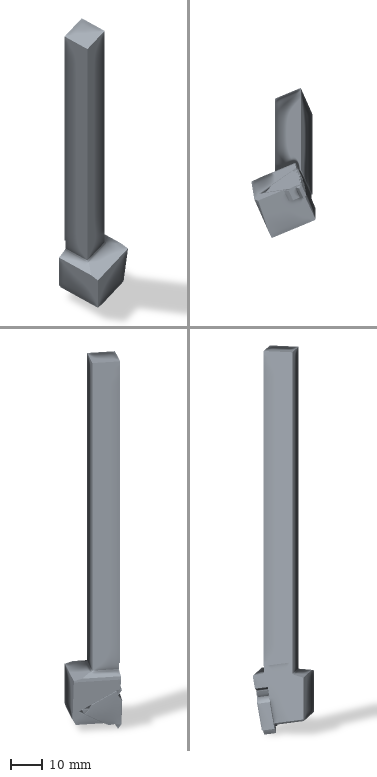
import cadquery as cq
import math

TOTAL_LENGTH = 126.0
SHANK_X = 9.1
SHANK_Y = 9.5

HEAD_RIGHT = 15.7
HEAD_Y = 16.5
HEAD_TOP = 20.2
SIDE_RELIEF = 0.4
SHOULDER_SLOPE = 15.0
LEDGE_X = 0.9
LEDGE_Y = 0.4
CORNER_CUT_X = 1.1
CORNER_CUT_BOTTOM = 2.6
CORNER_CUT_TOP = 4.5

TILT = 10.0
TIP_X = 0.69
TIP_Y = 4.7
HEAD_BOTTOM = 2.6
HEAD_EDGE_CHAMFER = 0.6
RELIEF_TOP = 22.3
REACH = 50.4

INSERT_LEFT = -0.4
INSERT_INRADIUS = 4.8
INSERT_CENTRE_HEIGHT = 7.4
INSERT_THICKNESS = 3.9
FLANK_TOP = 1.57
SIDE_TOP = 10.5
NOTCH_X = 1.0
NOTCH_HEIGHT = 12.3
PAD_HEIGHT = 0.4
PAD_INSET = 0.3
INSERT_SIDES = 3

centre_x = INSERT_LEFT + INSERT_INRADIUS


def tilted_plane(offset):
    """Plane parallel to the rake face, offset outward; extrusions go into the head."""
    sine = math.sin(math.radians(TILT))
    cosine = math.cos(math.radians(TILT))
    return cq.Workplane(cq.Plane(
        origin=(0, TIP_Y + offset * cosine, -offset * sine),
        xDir=(1, 0, 0),
        normal=(0, -cosine, sine),
    ))


def turned(point, index):
    """Turn a point clockwise about the insert centre by whole insert sides."""
    angle = -math.radians(360 / INSERT_SIDES * index)
    dx = point[0] - centre_x
    dy = point[1] - INSERT_CENTRE_HEIGHT
    return (
        centre_x + dx * math.cos(angle) - dy * math.sin(angle),
        INSERT_CENTRE_HEIGHT + dx * math.sin(angle) + dy * math.cos(angle),
    )


def triangle(inset):
    """Triangle on the long insert sides, moved inward by the inset."""
    inradius = INSERT_INRADIUS - inset
    corner = (centre_x + 2 * inradius, INSERT_CENTRE_HEIGHT)
    return [turned(corner, index) for index in range(INSERT_SIDES)]


def insert_outline(with_tips):
    side = [(INSERT_LEFT, FLANK_TOP), (INSERT_LEFT, SIDE_TOP), (NOTCH_X, NOTCH_HEIGHT)]
    if with_tips:
        side.insert(0, (TIP_X, 0))
    return [turned(point, index) for index in range(INSERT_SIDES) for point in side]


def make_shank():
    bar = (
        cq.Workplane("XY")
        .box(SHANK_X, SHANK_Y, TOTAL_LENGTH - HEAD_TOP, centered=(False, True, False))
        .translate((0, 0, HEAD_TOP))
    )
    flare = (
        cq.Workplane("XY", origin=((SHANK_X + LEDGE_Y) / 2, 0, HEAD_TOP))
        .rect(SHANK_X + LEDGE_Y, SHANK_Y + 2 * LEDGE_Y)
        .extrude(LEDGE_Y, taper=45)
    )
    return bar.union(flare)


def make_head():
    slope = math.tan(math.radians(SHOULDER_SLOPE))
    ledge_right = SHANK_X + LEDGE_X
    ledge_half = SHANK_Y / 2 + LEDGE_Y
    half_y = HEAD_Y / 2
    right_top = HEAD_TOP - (HEAD_RIGHT - ledge_right) * slope
    side_top = HEAD_TOP - (half_y - ledge_half) * slope

    front_profile = (
        cq.Workplane("XZ")
        .polyline([
            (SIDE_RELIEF, 0), (HEAD_RIGHT - CORNER_CUT_X, 0),
            (HEAD_RIGHT - CORNER_CUT_X, CORNER_CUT_BOTTOM), (HEAD_RIGHT, CORNER_CUT_TOP),
            (HEAD_RIGHT, right_top), (ledge_right, HEAD_TOP), (SIDE_RELIEF, HEAD_TOP),
        ])
        .close()
        .extrude(half_y, both=True)
    )
    side_profile = (
        cq.Workplane("YZ")
        .polyline([
            (-half_y, 0), (half_y, 0), (half_y, side_top),
            (ledge_half, HEAD_TOP), (-ledge_half, HEAD_TOP), (-half_y, side_top),
        ])
        .close()
        .extrude(HEAD_RIGHT)
    )
    tilted_limits = (
        tilted_plane(PAD_HEIGHT)
        .polyline([
            (SIDE_RELIEF, HEAD_BOTTOM + HEAD_EDGE_CHAMFER),
            (SIDE_RELIEF + HEAD_EDGE_CHAMFER, HEAD_BOTTOM),
            (HEAD_RIGHT, HEAD_BOTTOM), (HEAD_RIGHT, REACH), (SIDE_RELIEF, REACH),
        ])
        .close()
        .extrude(REACH)
    )
    return front_profile.intersect(side_profile).intersect(tilted_limits)


def make_holder():
    side_relief = (
        tilted_plane(REACH / 2)
        .moveTo(SIDE_RELIEF, RELIEF_TOP)
        .rect(-REACH, -REACH, centered=False)
        .extrude(REACH)
    )
    pocket = (
        tilted_plane(PAD_HEIGHT)
        .polyline(triangle(0))
        .close()
        .extrude(PAD_HEIGHT + INSERT_THICKNESS)
    )
    return make_shank().cut(side_relief).union(make_head()).cut(pocket)


def make_insert():
    plate = tilted_plane(0).polyline(insert_outline(True)).close().extrude(INSERT_THICKNESS)
    pad_limits = tilted_plane(PAD_HEIGHT).polyline(triangle(PAD_INSET)).close().extrude(PAD_HEIGHT)
    pad = (
        tilted_plane(PAD_HEIGHT)
        .polyline(insert_outline(False))
        .close()
        .extrude(PAD_HEIGHT)
        .intersect(pad_limits)
    )
    return plate.union(pad)


holder = make_holder()
insert = make_insert()
result = cq.Compound.makeCompound([holder.solids().val(), insert.solids().val()])